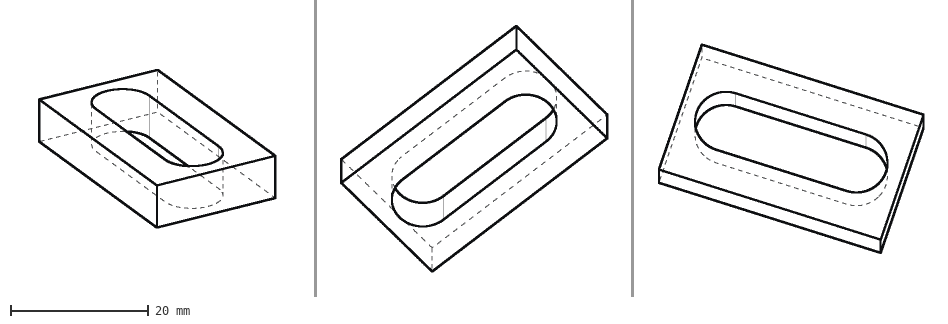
import cadquery as cq

length = 34.0
width = 20.0
height = 6.8

slot_length = 29.0
slot_width = 9.0

block = cq.Workplane("XY").box(length, width, height)
result = block.faces(">Z").workplane().slot2D(slot_length, slot_width).cutThruAll()